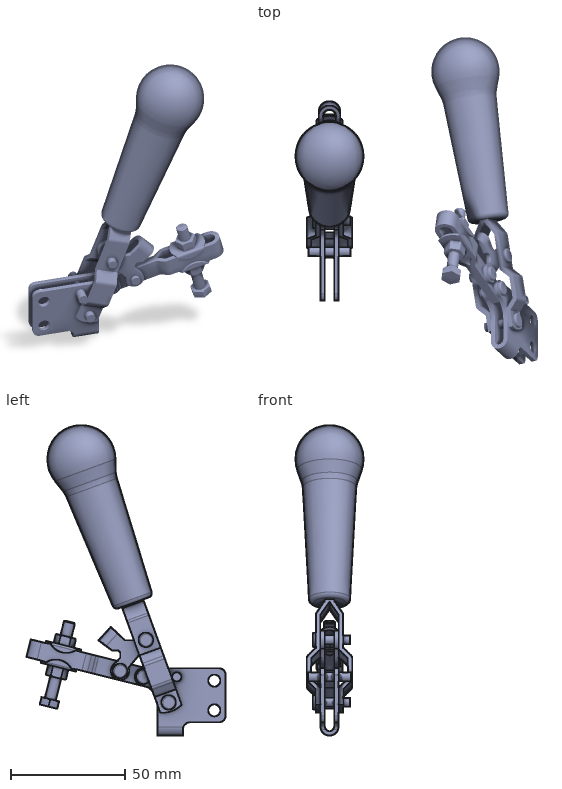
import cadquery as cq
import math


SHEET = 2.0
BAR_WIDTH = 8.0
HALF_BAR = BAR_WIDTH / 2
PLATE_REACH = 100.0
BEND_ROUND = 2.0

BASE_LENGTH = 30.0
BASE_OUTER = 4.0
BASE_END_RADIUS = 3.8
ARM_PIVOT = (6.05, 25.8)
BASE_TOP = ARM_PIVOT[1] + BASE_END_RADIUS
BASE_LOWER_EDGE = 5.8
BASE_CORNER = 3.0
FOLD_LENGTH = 11.3
THROAT_RADIUS = 8.0
MOUNT_HOLE_DIAMETER = 5.2
MOUNT_HOLE_INSET = 5.0
MOUNT_HOLE_HEIGHTS = (11.1, 24.1)

ARM_ANGLE = 14.0
ARM_LENGTH = 51.95
ARM_END = -4.0
ARM_OUTER = 4.75
LINK_ON_ARM = 10.6
ARM_JOG = (22.05, 25.55)
ARM_JOG_START_ROUND = 2.0
ARM_JOG_END_ROUND = 4.0
BOLT_FROM_NOSE = 14.7

HANDLE_PIVOT = (-4.97, 14.6)
HANDLE_ANGLE = 70.0
HANDLE_WIDTH = 10.0
LINK_ON_HANDLE = 29.15
HANDLE_NARROW_FACE = BASE_OUTER + SHEET
HANDLE_FLARE = 4.0
HANDLE_WIDE_FACE = HANDLE_NARROW_FACE + HANDLE_FLARE
HANDLE_END = -4.1
HANDLE_END_SAGITTA = 1.2
LOWER_FLARE = (4.3, 8.4)
UPPER_FLARE = (19.5, 23.7)
NECK = (39.6, 45.7)
TANG_END = 55.0

GRIP_SHIFT = 0.5
GRIP_BOTTOM = 46.2
GRIP_BOTTOM_RADIUS = 9.0
GRIP_TOP_RADIUS = 11.9
GRIP_TAPER_END = 101.5
GRIP_BOTTOM_ROUND = 2.0
GRIP_FLARE_ROUND = 10.0
BALL_RADIUS = 15.0
BALL_CENTRE = 113.2
BALL_CUT = 4.9

PIN_DIAMETER = 4.0
RIVET_HEAD_RADIUS = 3.2
RIVET_HEAD_HEIGHT = 1.4
RIVET_HEAD_ROUND = 0.6
HANDLE_RIVET_END = 9.0
ARM_RIVET_END = 5.75
STOP_PIN = (-8.55, 25.75)
STOP_PIN_LENGTH = 18.5

LINK_WAIST = 4.0
LINK_TAB_ANGLE = 42.5
LINK_TAB_END = (23.08, 44.7)
LINK_TAB_ROOT = (14.24, 41.9)
LINK_TAB_HEEL = (19.7, 37.2)
LINK_NOTCH_TOP = (16.3, 37.4)
LINK_NOTCH_BOTTOM = (16.3, 34.1)
LINK_NOTCH_ROUND = 1.3

BOLT_DIAMETER = 5.0
BOLT_TOP = 15.6
BOLT_BOTTOM = -22.8
BOLT_TIP_CHAMFER = 0.4
HEX_FLATS = 8.0
HEX_CORNERS = HEX_FLATS / math.cos(math.radians(30))
HEX_CHAMFER = 0.4
HEAD_TURN = 0.0
NUT_TURN = 30.0
HEAD_HEIGHT = 3.4
UPPER_NUT_HEIGHT = 4.0
LOWER_NUT_HEIGHT = 4.6
WASHER_RADIUS = 8.0
WASHER_THICKNESS = 1.0


def direction(angle):
    return math.cos(math.radians(angle)), math.sin(math.radians(angle))


def travel(start, angle, along, across=0.0):
    """(Y, Z) point reached from start by going along a direction, then to its left."""
    c, s = direction(angle)
    return start[0] + along * c - across * s, start[1] + along * s + across * c


ARM_LINK_PIVOT = travel(ARM_PIVOT, ARM_ANGLE, LINK_ON_ARM)
HANDLE_LINK_PIVOT = travel(HANDLE_PIVOT, HANDLE_ANGLE, LINK_ON_HANDLE)


def side_plane(origin=(0.0, 0.0), angle=0.0):
    """Plane with local axes (along, across); its normal is +X."""
    c, s = direction(angle)
    return cq.Plane((0, origin[0], origin[1]), xDir=(0, c, s), normal=(1, 0, 0))


def sheet_plane(origin, angle):
    """Plane with local axes (along, X); its normal lies across the sheet strip."""
    c, s = direction(angle)
    return cq.Plane((0, origin[0], origin[1]), xDir=(0, c, s), normal=(0, s, -c))


def mirrored_pair(body):
    return body.union(body.mirror("YZ"))


def disc(centre, radius, half_width):
    return cq.Workplane(side_plane(centre)).circle(radius).extrude(half_width, both=True)


def cylinder_x(centre, radius, x_start, x_end):
    return cq.Workplane(side_plane(centre)).workplane(offset=x_start).circle(radius).extrude(x_end - x_start)


def bent_strip(plane, outer, width, rounded):
    """Strip of sheet below a line of outer points, with the outer bends at some points rounded."""
    headings = [math.atan2(b[1] - a[1], b[0] - a[0]) for a, b in zip(outer, outer[1:])]
    inner = []
    for point, before, after in zip(outer, headings[:1] + headings, headings + headings[-1:]):
        middle = (before + after) / 2
        reach = SHEET / math.cos((after - before) / 2)
        inner.append((point[0] + reach * math.sin(middle), point[1] - reach * math.cos(middle)))
    strip = cq.Workplane(plane).polyline(outer + inner[::-1]).close().extrude(width / 2, both=True)
    for point, radius in rounded:
        corner = plane.toWorldCoords((point[0], point[1], 0))
        strip = strip.edges(cq.selectors.NearestToPointSelector(corner.toTuple())).fillet(radius)
    return strip


def round_fold(plane, outer_radius, width):
    """Half ring that joins two plates; its outermost point is at the plane origin."""
    ring = (
        cq.Workplane(plane)
        .center(-outer_radius, 0)
        .circle(outer_radius)
        .circle(outer_radius - SHEET)
        .extrude(width / 2, both=True)
    )
    front = cq.Workplane(plane).center(-outer_radius / 2, 0).rect(outer_radius, 2 * outer_radius)
    return ring.intersect(front.extrude(width / 2, both=True))


def folded_sheet(outline, outer, fold_tip, fold_angle):
    """Two parallel plates of one outline, joined by a round fold at the fold tip."""
    reach = PLATE_REACH
    plane = sheet_plane(fold_tip, fold_angle)
    plate = (
        cq.Workplane(plane)
        .center(-outer - reach / 2, outer - SHEET / 2)
        .rect(reach, SHEET)
        .extrude(reach, both=True)
    )
    fold = round_fold(plane, outer, 2 * reach)
    return mirrored_pair(plate).union(fold).intersect(outline)


def make_base():
    throat_drop = math.sqrt((THROAT_RADIUS + BASE_END_RADIUS) ** 2 - (THROAT_RADIUS - ARM_PIVOT[0]) ** 2)
    throat = (THROAT_RADIUS, ARM_PIVOT[1] - throat_drop)
    to_pivot = math.degrees(math.atan2(ARM_PIVOT[1] - throat[1], ARM_PIVOT[0] - throat[0]))
    touch = travel(throat, to_pivot, THROAT_RADIUS)
    throat_middle = travel(throat, (180 + to_pivot) / 2, THROAT_RADIUS)
    end_middle = travel(ARM_PIVOT, 0, BASE_END_RADIUS)
    plate = (
        cq.Workplane(side_plane())
        .moveTo(0, 0)
        .lineTo(0, throat[1])
        .threePointArc(throat_middle, touch)
        .threePointArc(end_middle, (ARM_PIVOT[0], BASE_TOP))
        .lineTo(-BASE_LENGTH, BASE_TOP)
        .lineTo(-BASE_LENGTH, BASE_LOWER_EDGE)
        .lineTo(-FOLD_LENGTH, BASE_LOWER_EDGE)
        .lineTo(-FOLD_LENGTH, 0)
        .close()
        .extrude(BASE_OUTER, both=True)
    )
    plate = plate.edges("|X and <Y").fillet(BASE_CORNER)
    inner_corner = (0, -FOLD_LENGTH, BASE_LOWER_EDGE)
    plate = plate.edges(cq.selectors.NearestToPointSelector(inner_corner)).fillet(BASE_CORNER)
    for height in MOUNT_HOLE_HEIGHTS:
        centre = (MOUNT_HOLE_INSET - BASE_LENGTH, height)
        plate = plate.cut(disc(centre, MOUNT_HOLE_DIAMETER / 2, BASE_OUTER))
    return folded_sheet(plate, BASE_OUTER, (0.0, 0.0), -90)


def make_arm():
    straight_end = ARM_LENGTH - ARM_OUTER
    jog_start = (ARM_JOG[0], SHEET)
    jog_end = (ARM_JOG[1], ARM_OUTER)
    outer = [(ARM_END, SHEET), jog_start, jog_end, (straight_end, ARM_OUTER)]
    rounded = [(jog_start, ARM_JOG_START_ROUND), (jog_end, ARM_JOG_END_ROUND)]
    strip = bent_strip(sheet_plane(ARM_PIVOT, ARM_ANGLE), outer, BAR_WIDTH, rounded)
    nose_tip = travel(ARM_PIVOT, ARM_ANGLE, ARM_LENGTH)
    nose = round_fold(sheet_plane(nose_tip, ARM_ANGLE), ARM_OUTER, BAR_WIDTH)
    return mirrored_pair(strip).union(nose)


def make_handle_strips():
    narrow_x = HANDLE_NARROW_FACE
    wide_x = HANDLE_WIDE_FACE
    flare_top = (LOWER_FLARE[1], wide_x)
    wide_top = (UPPER_FLARE[0], wide_x)
    neck_start = (NECK[0], narrow_x)
    outer = [
        (HANDLE_END, narrow_x),
        (LOWER_FLARE[0], narrow_x),
        flare_top,
        wide_top,
        (UPPER_FLARE[1], narrow_x),
        neck_start,
        (NECK[1], SHEET),
        (TANG_END, SHEET),
    ]
    rounded = [(point, BEND_ROUND) for point in (flare_top, wide_top, neck_start)]
    strip = bent_strip(sheet_plane(HANDLE_PIVOT, HANDLE_ANGLE), outer, HANDLE_WIDTH, rounded)
    half = HANDLE_WIDTH / 2
    outline = (
        cq.Workplane(side_plane(HANDLE_PIVOT, HANDLE_ANGLE))
        .moveTo(TANG_END, half)
        .lineTo(HANDLE_END + HANDLE_END_SAGITTA, half)
        .threePointArc((HANDLE_END, 0), (HANDLE_END + HANDLE_END_SAGITTA, -half))
        .lineTo(TANG_END, -half)
        .close()
        .extrude(wide_x, both=True)
    )
    return mirrored_pair(strip.intersect(outline))


def make_grip():
    cut_radius = math.sqrt(BALL_RADIUS**2 - BALL_CUT**2)
    ball_side = BALL_RADIUS / math.sqrt(2)
    grip = (
        cq.Workplane(side_plane(travel(HANDLE_PIVOT, HANDLE_ANGLE, 0, GRIP_SHIFT), HANDLE_ANGLE))
        .moveTo(GRIP_BOTTOM, 0)
        .lineTo(GRIP_BOTTOM, GRIP_BOTTOM_RADIUS)
        .lineTo(GRIP_TAPER_END, GRIP_TOP_RADIUS)
        .lineTo(BALL_CENTRE - BALL_CUT, cut_radius)
        .threePointArc((BALL_CENTRE + ball_side, ball_side), (BALL_CENTRE + BALL_RADIUS, 0))
        .close()
        .revolve(360, (0, 0, 0), (1, 0, 0))
    )
    axis = cq.Vector(0, *direction(HANDLE_ANGLE))
    bottom = cq.selectors.CenterNthSelector(axis, 0)
    flare = cq.selectors.CenterNthSelector(axis, 1)
    grip = grip.edges("%CIRCLE").edges(flare).fillet(GRIP_FLARE_ROUND)
    return grip.edges("%CIRCLE").edges(bottom).fillet(GRIP_BOTTOM_ROUND)


def make_link():
    """Two plates between the arm and handle rivets, with a folded stop tab."""
    tab_top = travel(LINK_TAB_END, LINK_TAB_ANGLE, 0, HALF_BAR)
    tab_bottom = travel(LINK_TAB_END, LINK_TAB_ANGLE, 0, -HALF_BAR)
    pivot_angle = math.degrees(
        math.atan2(HANDLE_LINK_PIVOT[1] - ARM_LINK_PIVOT[1], HANDLE_LINK_PIVOT[0] - ARM_LINK_PIVOT[0])
    )
    span = math.dist(HANDLE_LINK_PIVOT, ARM_LINK_PIVOT)
    middle = travel(ARM_LINK_PIVOT, pivot_angle, span / 2)
    bar = cq.Workplane(side_plane(middle, pivot_angle)).rect(span, LINK_WAIST).extrude(BASE_OUTER, both=True)
    for pivot in (ARM_LINK_PIVOT, HANDLE_LINK_PIVOT):
        bar = bar.union(disc(pivot, HALF_BAR, BASE_OUTER))
    tab = (
        cq.Workplane(side_plane())
        .polyline(
            [
                tab_top,
                LINK_TAB_ROOT,
                (HANDLE_LINK_PIVOT[0], LINK_TAB_ROOT[1]),
                ARM_LINK_PIVOT,
                travel(ARM_LINK_PIVOT, pivot_angle, 0, -HALF_BAR),
                LINK_NOTCH_BOTTOM,
                LINK_NOTCH_TOP,
                LINK_TAB_HEEL,
                tab_bottom,
            ]
        )
        .close()
        .extrude(BASE_OUTER, both=True)
    )
    notch_top = (0, LINK_NOTCH_TOP[0], LINK_NOTCH_TOP[1])
    tab = tab.edges(cq.selectors.NearestToPointSelector(notch_top)).fillet(LINK_NOTCH_ROUND)
    return folded_sheet(bar.union(tab), BASE_OUTER, LINK_TAB_END, LINK_TAB_ANGLE)


def make_rivet(centre, clamped_half, shank_end):
    head = cylinder_x(centre, RIVET_HEAD_RADIUS, -clamped_half - RIVET_HEAD_HEIGHT, -clamped_half)
    head = head.faces("<X").edges().fillet(RIVET_HEAD_ROUND)
    return head.union(cylinder_x(centre, PIN_DIAMETER / 2, -clamped_half, shank_end))


def make_stop_pin():
    return cylinder_x(STOP_PIN, PIN_DIAMETER / 2, -STOP_PIN_LENGTH / 2, STOP_PIN_LENGTH / 2)


def bolt_plane(height=0.0):
    """Plane square to the bolt; local axes are X and the arm direction, normal up the bolt."""
    c, s = direction(ARM_ANGLE)
    origin = travel(ARM_PIVOT, ARM_ANGLE, ARM_LENGTH - BOLT_FROM_NOSE, height)
    return cq.Plane((0, origin[0], origin[1]), xDir=(1, 0, 0), normal=(0, -s, c))


def turned_over(body):
    """The same body on the opposite side of the arm."""
    plane = bolt_plane()
    start = plane.toWorldCoords((0, 0, 0)).toTuple()
    end = plane.toWorldCoords((1, 0, 0)).toTuple()
    return body.rotate(start, end, 180)


def make_washer():
    """Disc on the arm edges, with its two sides bent down over the arm."""
    half_width = ARM_OUTER + WASHER_THICKNESS
    top = HALF_BAR + WASHER_THICKNESS
    channel = (
        cq.Workplane(bolt_plane())
        .rect(2 * half_width, 2 * WASHER_RADIUS)
        .extrude(top)
        .edges(cq.selectors.ParallelDirSelector(bolt_plane().yDir))
        .edges(cq.selectors.DirectionMinMaxSelector(bolt_plane().zDir))
        .fillet(WASHER_THICKNESS)
    )
    inside = cq.Workplane(bolt_plane()).rect(2 * ARM_OUTER, 2 * WASHER_RADIUS).extrude(HALF_BAR)
    cap = (
        cq.Workplane(bolt_plane())
        .circle(WASHER_RADIUS)
        .extrude(top)
        .intersect(cq.Workplane(bolt_plane()).rect(2 * ARM_OUTER, 2 * WASHER_RADIUS).extrude(top))
    )
    fold = (ARM_OUTER + half_width) / 2
    ear_centre = travel(ARM_PIVOT, ARM_ANGLE, ARM_LENGTH - BOLT_FROM_NOSE, (HALF_BAR + top) / 2 + fold)
    ears = cylinder_x(ear_centre, WASHER_RADIUS, ARM_OUTER, half_width)
    return channel.cut(inside).intersect(cap.union(mirrored_pair(ears)))


def make_hexagon(height, length, turn):
    """Hexagon with chamfered corners, starting at a height on the bolt."""
    hexagon = (
        cq.Workplane(bolt_plane(height))
        .transformed(rotate=(0, 0, turn))
        .polygon(6, HEX_CORNERS)
        .extrude(length)
    )
    envelope = cq.Workplane(bolt_plane(height)).circle(HEX_CORNERS / 2).extrude(length)
    upper = cq.selectors.DirectionMinMaxSelector(bolt_plane().zDir)
    return hexagon.intersect(envelope.faces(upper).chamfer(HEX_CHAMFER))


def make_clamping_bolt():
    upper = cq.selectors.DirectionMinMaxSelector(bolt_plane().zDir)
    bolt = (
        cq.Workplane(bolt_plane(BOLT_BOTTOM))
        .circle(BOLT_DIAMETER / 2)
        .extrude(BOLT_TOP - BOLT_BOTTOM)
        .faces(upper)
        .chamfer(BOLT_TIP_CHAMFER)
    )
    bolt = bolt.union(make_hexagon(BOLT_BOTTOM, HEAD_HEIGHT, HEAD_TURN))
    seat = HALF_BAR + WASHER_THICKNESS
    washer = make_washer()
    upper_side = washer.union(make_hexagon(seat, UPPER_NUT_HEIGHT, NUT_TURN))
    lower_side = washer.union(make_hexagon(seat, LOWER_NUT_HEIGHT, NUT_TURN))
    return bolt.union(upper_side).union(turned_over(lower_side))


bodies = [make_arm(), make_link(), make_handle_strips(), make_grip(), make_stop_pin(), make_clamping_bolt()]
for pivot in (HANDLE_PIVOT, HANDLE_LINK_PIVOT):
    bodies.append(make_rivet(pivot, HANDLE_NARROW_FACE, HANDLE_RIVET_END))
for pivot in (ARM_PIVOT, ARM_LINK_PIVOT):
    bodies.append(make_rivet(pivot, BASE_OUTER, ARM_RIVET_END))

result = make_base()
for body in bodies:
    result = result.union(body)